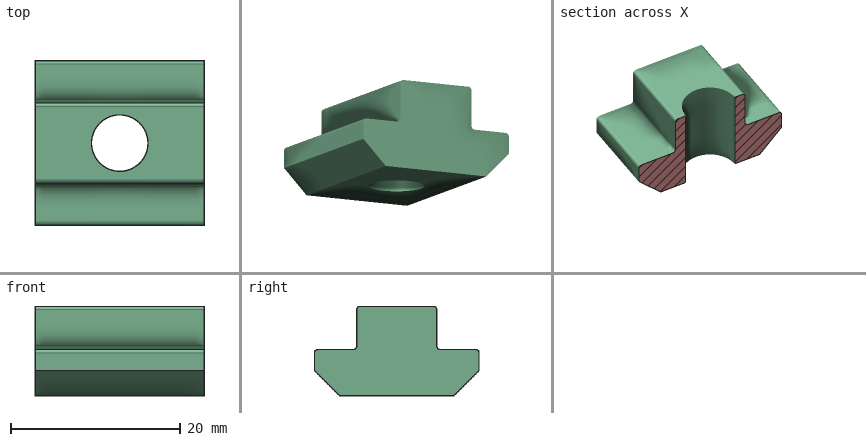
import cadquery as cq

length = 20.0
base_width = 19.5
height = 10.6

neck_width = 9.5
neck_height = 5.1
bottom_chamfer = 3.0
edge_radius = 0.4

hole_diameter = 6.65

shoulder_z = height - neck_height


def make_body():
    """T-shaped bar with sloped lower flanks, its bottom face on Z = 0."""
    half_base = base_width / 2
    half_neck = neck_width / 2
    half_bottom = half_base - bottom_chamfer
    right_side = [
        (half_bottom, 0),
        (half_base, bottom_chamfer),
        (half_base, shoulder_z),
        (half_neck, shoulder_z),
        (half_neck, height),
    ]
    left_side = [(-y, z) for y, z in reversed(right_side)]
    return (
        cq.Workplane("YZ")
        .polyline(right_side + left_side)
        .close()
        .extrude(length / 2, both=True)
    )


def round_upper_edges(body):
    """Round the neck edges, the neck roots and the shoulder edges."""
    margin = edge_radius
    upper_region = cq.selectors.BoxSelector(
        (-length, -base_width, shoulder_z - margin),
        (length, base_width, height + margin),
    )
    return body.edges("|X").edges(upper_region).fillet(edge_radius)


def drill_hole(body):
    """Vertical hole through the centre of the neck."""
    cutter = cq.Workplane("XY").circle(hole_diameter / 2).extrude(height)
    return body.cut(cutter)


result = drill_hole(round_upper_edges(make_body()))